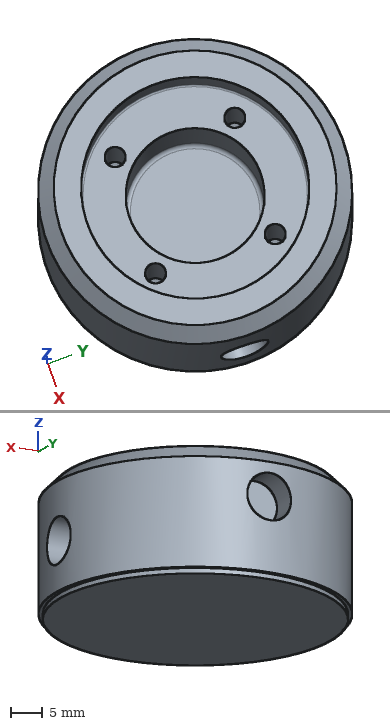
import cadquery as cq
import math

body_diameter = 50.3
body_height = 22.0
top_chamfer = 2.5
foot_diameter = 48.9
foot_height = 0.9

recess_diameter = 36.5
recess_depth = 5.25
recess_fillet = 0.3

bore_diameter = 22.25
bore_depth = 10.75
bore_fillet = 0.75

hole_diameter = 3.3
hole_spacing = 20.2
hole_depth = 10.05
drill_point_angle = 118.0

port_diameter = 7.95
port_depth = 5.05
port_x_height = 9.45
port_y_height = 13.65

recess_floor = body_height - recess_depth
bore_floor = recess_floor - bore_depth


def make_body():
    foot = cq.Workplane("XY").circle(foot_diameter / 2).extrude(foot_height)
    drum = (
        cq.Workplane("XY")
        .workplane(offset=foot_height)
        .circle(body_diameter / 2)
        .extrude(body_height - foot_height)
        .faces(">Z")
        .chamfer(top_chamfer)
    )
    return drum.union(foot)


def make_pocket(diameter, floor, top, floor_fillet):
    """Round cutter from floor to top with a rounded lower edge."""
    return (
        cq.Workplane("XY")
        .workplane(offset=floor)
        .circle(diameter / 2)
        .extrude(top - floor)
        .faces("<Z")
        .edges()
        .fillet(floor_fillet)
    )


def make_drilled_holes():
    """Cutters for the holes: straight walls with a conical drill point."""
    radius = hole_diameter / 2
    point_height = radius / math.tan(math.radians(drill_point_angle / 2))
    drill = (
        cq.Workplane("XZ")
        .moveTo(0, recess_floor)
        .lineTo(radius, recess_floor)
        .lineTo(radius, recess_floor - hole_depth)
        .lineTo(0, recess_floor - hole_depth - point_height)
        .close()
        .revolve(360, (0, 0, 0), (0, 1, 0))
    )
    return (
        cq.Workplane("XY")
        .rect(hole_spacing, hole_spacing, forConstruction=True)
        .vertices()
        .eachpoint(drill.val(), combine=False)
    )


def make_side_port(direction_angle, height):
    """Radial cutter entering the side wall at an angle measured from +X."""
    return (
        cq.Workplane("YZ")
        .workplane(offset=body_diameter / 2 - port_depth)
        .center(0, height)
        .circle(port_diameter / 2)
        .extrude(port_depth)
        .rotate((0, 0, 0), (0, 0, 1), direction_angle)
    )


recess = make_pocket(recess_diameter, recess_floor, body_height, recess_fillet)
bore = make_pocket(bore_diameter, bore_floor, recess_floor, bore_fillet)

side_ports = make_side_port(0, port_x_height).union(make_side_port(90, port_y_height))

result = make_body().cut(recess).cut(bore).cut(make_drilled_holes()).cut(side_ports)